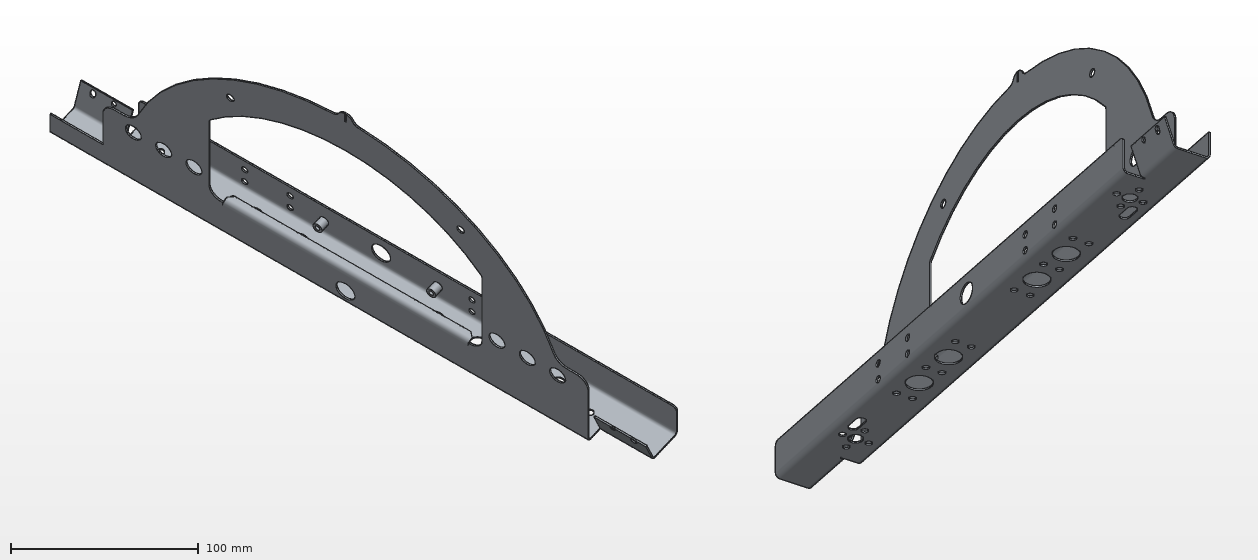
import cadquery as cq
import math

length = 390.0
width = 33.0
thickness = 1.0
bend_inner = 2.0
bend_outer = bend_inner + thickness
half_length = length / 2
half_width = width / 2
front_wall_height = 17.0
back_wall_height = 22.5
back_wall_corner_radius = 3.0

plate_half_width = 160.0
shoulder_height = 52.0
shoulder_radius = 8.0
arch_foot_radius = 10.0
arch_center_z = 10.0
arch_outer_radius = 145.6
total_height = 161.0
bump_radius = 5.0
bump_foot_radius = 5.0
slit_width = 1.0
slit_depth = 6.5

window_half_width = 90.0
window_bottom = 26.0
window_arc_radius = 120.0
window_bottom_radius = 8.0
window_top_radius = 3.0
lip_top = 26.8
lip_reach = 6.7
lip_half_length = 81.0
lip_end_chamfer = 3.0

flap_lean = 20.0
flap_height = 17.8
flap_tip_inset = 4.4
flap_gap = 0.8
flap_cut_depth = 13.3
flap_round_hole_diameter = 3.0
flap_round_hole_from_end = 22.5
flap_round_hole_z = 15.3
flap_slot_width = 3.5
flap_slot_length = 4.5
flap_slot_from_end = 8.9
flap_slot_z = 14.3

wall_hole_z = 10.5
wall_hole_diameter = 12.5
shoulder_hole_xs = (100.0, 120.0, 140.0)
shoulder_hole_z = 42.0
shoulder_hole_diameter = 10.5
arch_hole_x = 76.0
arch_hole_z = 118.7
arch_hole_diameter = 5.0
floor_big_hole_xs = (45.0, 75.0)
floor_big_hole_diameter = 15.0
small_hole_diameter = 4.1
small_hole_offset = 5.0
floor_small_hole_xs = (30.0, 60.0, 90.0)
back_small_hole_xs = (60.0, 90.0)
back_small_hole_z = 10.0
cluster_x = 140.0
cluster_center_diameter = 8.5
cluster_offset_x = 9.4
cluster_offset_y = 8.2
floor_slot_x = 127.0
floor_slot_y = 7.0
floor_slot_length = 13.5
floor_slot_width = 6.0

stud_x = 37.5
stud_z = 10.2
stud_diameter = 6.0
stud_length = 6.0
stud_bore_diameter = 3.0

cut_reach = 2 * thickness


def mirrored(values):
    """The given distances on both sides of the middle."""
    return [side * value for value in values for side in (-1, 1)]


def box(x0, x1, y0, y1, z0, z1):
    """Block between the given limits on each axis."""
    return cq.Workplane("XY").box(x1 - x0, y1 - y0, z1 - z0, centered=False).translate((x0, y0, z0))


def floor_cylinders(points, diameter):
    """Vertical cylinders that pass through the floor."""
    below_floor = cq.Workplane("XY", origin=(0, 0, -cut_reach))
    return below_floor.pushPoints(points).circle(diameter / 2).extrude(2 * cut_reach)


def wall_cylinders(points, diameter, y, depth):
    """Cylinders along +Y at (x, z) points, starting at the given y."""
    plane = cq.Plane(origin=(0, y, 0), xDir=(1, 0, 0), normal=(0, -1, 0))
    return cq.Workplane(plane).pushPoints(points).circle(diameter / 2).extrude(-depth)


def make_channel():
    """U channel: floor with a low front wall and a higher back wall."""
    top = back_wall_height
    outer = box(-half_length, half_length, -half_width, half_width, 0, top)
    outer = outer.edges("|X and <Z").fillet(bend_outer)
    inner = box(-half_length, half_length, -half_width + thickness, half_width - thickness, thickness, top)
    inner = inner.edges("|X and <Z").fillet(bend_inner)
    channel = outer.cut(inner)
    above_front = box(-half_length, half_length, -half_width, 0, front_wall_height, top)
    return channel.cut(above_front)


def window_cutter():
    """Window: straight bottom and sides under an arc concentric with the arch."""
    side_top = arch_center_z + math.sqrt(window_arc_radius**2 - window_half_width**2)
    cutter = (
        cq.Workplane("XZ", origin=(0, -half_width + cut_reach, 0))
        .moveTo(-window_half_width, window_bottom)
        .lineTo(window_half_width, window_bottom)
        .lineTo(window_half_width, side_top)
        .threePointArc((0, arch_center_z + window_arc_radius), (-window_half_width, side_top))
        .close()
        .extrude(2 * cut_reach)
    )
    middle_z = (window_bottom + side_top) / 2
    lower = cq.selectors.BoxSelector((-length, -width, 0), (length, width, middle_z))
    upper = cq.selectors.BoxSelector((-length, -width, middle_z), (length, width, total_height))
    cutter = cutter.edges("|Y").edges(lower).fillet(window_bottom_radius)
    return cutter.edges("|Y").edges(upper).fillet(window_top_radius)


def make_plate():
    """Arched plate standing on the front wall, with shoulders, sighting bump and window."""
    arch_foot_x = math.sqrt(arch_outer_radius**2 - (shoulder_height - arch_center_z) ** 2)
    bump_z = total_height - bump_radius
    inner_y = -half_width + thickness
    base = box(-plate_half_width, plate_half_width, -half_width, inner_y, bend_outer, shoulder_height)
    base = base.edges("|Y and >Z").fillet(shoulder_radius)
    arch = (
        cq.Workplane("XZ", origin=(0, inner_y, 0))
        .moveTo(-arch_foot_x, shoulder_height)
        .threePointArc((0, arch_center_z + arch_outer_radius), (arch_foot_x, shoulder_height))
        .lineTo(arch_foot_x, shoulder_height - shoulder_radius)
        .lineTo(-arch_foot_x, shoulder_height - shoulder_radius)
        .close()
        .extrude(thickness)
    )
    bump = wall_cylinders([(0, bump_z)], 2 * bump_radius, -half_width, thickness)
    plate = base.union(arch).union(bump).clean()

    reach = 1.0
    for side in (-1, 1):
        foot = cq.selectors.BoxSelector(
            (side * arch_foot_x - reach, -width, shoulder_height - reach),
            (side * arch_foot_x + reach, 0, shoulder_height + reach),
        )
        plate = plate.edges("|Y").edges(foot).fillet(arch_foot_radius)
    bump_feet = cq.selectors.BoxSelector(
        (-bump_radius - reach, -width, bump_z - bump_radius),
        (bump_radius + reach, 0, bump_z + bump_radius),
    )
    plate = plate.edges("|Y").edges(bump_feet).fillet(bump_foot_radius)

    half_slit = slit_width / 2
    slit = box(-half_slit, half_slit, -half_width, inner_y, total_height - slit_depth, total_height)
    return plate.cut(slit).cut(window_cutter())


def make_lip():
    """Lip bent inwards from the bottom edge of the window, with chamfered free corners."""
    front = -half_width
    foot = lip_top - bend_outer - thickness
    outer = box(-lip_half_length, lip_half_length, front, front + lip_reach, foot, lip_top)
    outer = outer.edges("|X and >Z and <Y").fillet(bend_outer)
    inner = box(
        -lip_half_length, lip_half_length, front + thickness, front + lip_reach, foot, lip_top - thickness
    )
    inner = inner.edges("|X and >Z and <Y").fillet(bend_inner)
    return outer.cut(inner).edges("|Z and >Y").chamfer(lip_end_chamfer)


def lip_seat_cutter():
    """Plate material in front of the lip bend, removed so that the bend is exposed."""
    return box(
        -lip_half_length,
        lip_half_length,
        -half_width,
        -half_width + thickness,
        lip_top - bend_outer,
        lip_top,
    )


def make_flap():
    """Leaning flap at the +X end on the front side, with its bend and a strip of floor."""
    lean = math.radians(flap_lean)
    start_x = plate_half_width + flap_gap
    tip_y = -half_width + flap_tip_inset
    tip_rise = thickness * math.sin(lean)
    outer_tip_z = flap_height - tip_rise
    outer_foot_y = tip_y + outer_tip_z * math.tan(lean)
    inner_foot_y = outer_foot_y + thickness / math.cos(lean) - thickness * math.tan(lean)
    outline = [
        (tip_y, outer_tip_z),
        (outer_foot_y, 0),
        (0, 0),
        (0, thickness),
        (inner_foot_y, thickness),
        (tip_y + thickness * math.cos(lean), flap_height),
    ]
    flap = cq.Workplane("YZ", origin=(start_x, 0, 0)).polyline(outline).close().extrude(half_length - start_x)

    def bend_edge(y, z):
        return cq.selectors.NearestToPointSelector(((start_x + half_length) / 2, y, z))

    flap = flap.edges(bend_edge(outer_foot_y, 0)).fillet(bend_outer)
    flap = flap.edges(bend_edge(inner_foot_y, thickness)).fillet(bend_inner)

    round_hole = wall_cylinders(
        [(half_length - flap_round_hole_from_end, flap_round_hole_z)],
        flap_round_hole_diameter,
        -half_width,
        half_width,
    )
    slot = (
        cq.Workplane("XZ")
        .center(half_length - flap_slot_from_end, flap_slot_z)
        .slot2D(flap_slot_length, flap_slot_width, 90)
        .extrude(half_width)
    )
    return flap.cut(round_hole).cut(slot)


def front_end_cutter():
    """The +X end of the front wall and its bend, replaced there by the flap."""
    return box(
        plate_half_width, half_length, -half_width, -half_width + flap_cut_depth, 0, front_wall_height
    )


def back_end_cutter():
    """The -X end of the back wall and its bend, replaced there by the flap."""
    return box(
        -half_length, -plate_half_width, half_width - flap_cut_depth, half_width, 0, back_wall_height
    )


def half_turn(body):
    """The body turned half a turn about Z, which takes the +X front end to the -X back end."""
    return body.rotate((0, 0, 0), (0, 0, 1), 180)


def round_back_wall_corners(channel):
    """Rounds the two free top corners of the back wall."""
    corner = cq.selectors.BoxSelector(
        (-length, 0, back_wall_height - thickness), (length, width, back_wall_height + thickness)
    )
    return channel.edges("|Y").edges(corner).fillet(back_wall_corner_radius)


def front_wall_holes():
    """Shoulder holes and small arch holes of the front plate."""
    shoulder_points = [(x, shoulder_hole_z) for x in mirrored(shoulder_hole_xs)]
    arch_points = [(x, arch_hole_z) for x in mirrored([arch_hole_x])]
    start = -half_width - cut_reach
    holes = wall_cylinders(shoulder_points, shoulder_hole_diameter, start, 2 * cut_reach)
    return holes.union(wall_cylinders(arch_points, arch_hole_diameter, start, 2 * cut_reach))


def shared_wall_hole():
    """Middle hole in line through both walls."""
    return wall_cylinders([(0, wall_hole_z)], wall_hole_diameter, -width, 2 * width)


def back_wall_holes():
    """Pairs of small holes in the back wall."""
    heights = [back_small_hole_z + dz for dz in mirrored([small_hole_offset])]
    points = [(x, z) for x in mirrored(back_small_hole_xs) for z in heights]
    return wall_cylinders(points, small_hole_diameter, half_width - cut_reach, 2 * cut_reach)


def floor_holes():
    """Large holes between pairs of small ones, and a ring of holes with a slot at each end."""
    big_points = [(x, 0) for x in mirrored(floor_big_hole_xs)]
    center_points = [(x, 0) for x in mirrored([cluster_x])]
    small_points = [(x, y) for x in mirrored(floor_small_hole_xs) for y in mirrored([small_hole_offset])]
    for x in mirrored([cluster_x]):
        small_points += [(x + dx, 0) for dx in mirrored([cluster_offset_x])]
        small_points += [(x, dy) for dy in mirrored([cluster_offset_y])]
    slots = (
        cq.Workplane("XY", origin=(0, 0, -cut_reach))
        .pushPoints([(floor_slot_x, floor_slot_y), (-floor_slot_x, -floor_slot_y)])
        .slot2D(floor_slot_length, floor_slot_width)
        .extrude(2 * cut_reach)
    )
    holes = floor_cylinders(big_points, floor_big_hole_diameter)
    holes = holes.union(floor_cylinders(center_points, cluster_center_diameter))
    holes = holes.union(floor_cylinders(small_points, small_hole_diameter))
    return holes.union(slots)


def make_studs():
    """Bored studs that stand inwards from the back wall."""
    points = [(x, stud_z) for x in mirrored([stud_x])]
    inner_y = half_width - thickness
    studs = wall_cylinders(points, stud_diameter, inner_y - stud_length, stud_length)
    return studs.cut(wall_cylinders(points, stud_bore_diameter, inner_y - stud_length, stud_length))


channel = make_channel().cut(front_end_cutter()).cut(back_end_cutter())
channel = round_back_wall_corners(channel)

flap = make_flap()
sheet = channel.union(make_plate())
sheet = sheet.cut(lip_seat_cutter()).union(make_lip())
sheet = sheet.union(flap).union(half_turn(flap))

for cutter in (front_wall_holes(), shared_wall_hole(), back_wall_holes(), floor_holes()):
    sheet = sheet.cut(cutter)

result = sheet.union(make_studs())